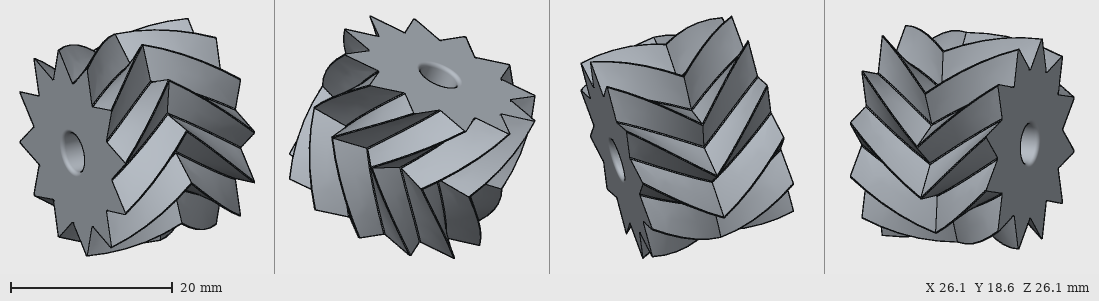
import cadquery as cq
import math

tip_diameter = 26.13
gear_width = 18.6
tooth_count = 12
tooth_tip_width = 0.2
groove_bottom_radius = 9.4
groove_bottom_width = 0.2
twist_angle = 39.5

bore_diameter = 5.0
bore_edge_radius = 0.5

tip_radius = tip_diameter / 2
half_width = gear_width / 2
tooth_pitch = 360.0 / tooth_count


def polar_point(radius, angle):
    """Point at an angle in degrees, measured counterclockwise from local X."""
    radians = math.radians(angle)
    return (radius * math.cos(radians), radius * math.sin(radians))


def half_angle(width, radius):
    """Half of the angle in degrees that a flat of this width spans at this radius."""
    return math.degrees(math.asin(width / 2 / radius))


def gear_outline():
    """Closed outline at the middle plane, turned so that a groove lies on local X at the end faces."""
    bottom_angle = half_angle(groove_bottom_width, groove_bottom_radius)
    top_angle = tooth_pitch / 2 - half_angle(tooth_tip_width, tip_radius)
    points = []
    for index in range(tooth_count):
        groove_middle = twist_angle + index * tooth_pitch
        points.append(polar_point(tip_radius, groove_middle - top_angle))
        points.append(polar_point(groove_bottom_radius, groove_middle - bottom_angle))
        points.append(polar_point(groove_bottom_radius, groove_middle + bottom_angle))
        points.append(polar_point(tip_radius, groove_middle + top_angle))
    return points


front_half = cq.Workplane("XZ").polyline(gear_outline()).close().twistExtrude(half_width, -twist_angle)
back_half = front_half.mirror("XZ")
gear = front_half.union(back_half)

bore = cq.Workplane("XZ").circle(bore_diameter / 2).extrude(half_width, both=True)
gear = gear.cut(bore)
bore_rims = gear.edges("%CIRCLE").edges("<Y or >Y")
result = bore_rims.fillet(bore_edge_radius)